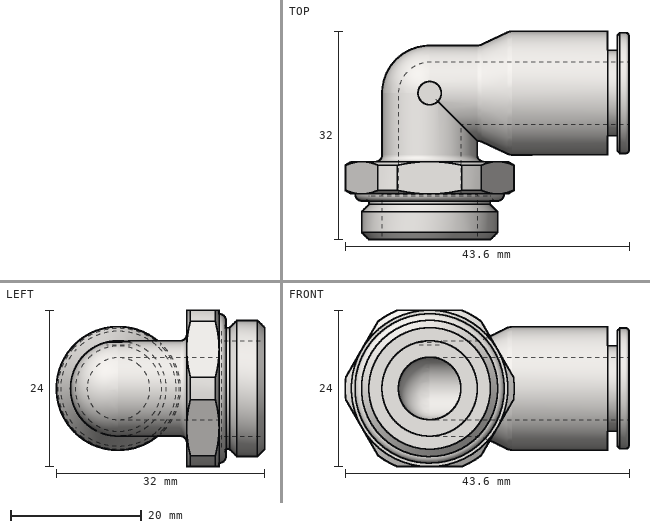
import cadquery as cq
import math


overall_length_y = 32.0

elbow_radius = 7.3
bore_radius = 4.8

cone_start = 7.65
cone_end = 12.3
cone_blend_radius = 1.52
sleeve_radius = 9.5
sleeve_end = 27.3

collar_neck_radius = 6.6
collar_start = 28.75
collar_end = 30.6
collar_radius = 9.3
collar_chamfer = 0.45
collar_fillet = 0.52

hex_top = -10.5
hex_thickness = 4.95
hex_bottom = hex_top - hex_thickness
hex_sides = 6
hex_across_flats = 24.0
hex_corner_radius = 13.0
hex_chamfer_angle = math.radians(30)
stem_base_fillet = 1.0

ring_centre_radius = 10.35
ring_section_radius = 1.1
ring_bottom = hex_bottom - ring_section_radius

thread_radius = 10.45
thread_chamfer = 1.15
relief_radius = thread_radius - thread_chamfer
relief_length = 0.52
relief_bottom = ring_bottom - relief_length
spigot_end = sleeve_radius - overall_length_y
counterbore_radius = elbow_radius
counterbore_depth = 6.95

recess_radius = 1.8
recess_depth = 0.6


def revolve_about_x(points):
    """Revolve an (x, radius) outline, closed along the X axis."""
    return cq.Workplane("XY").polyline(points).close().revolve(360, (0, 0, 0), (1, 0, 0))


def revolve_about_y(points):
    """Revolve a (radius, y) outline, closed along the Y axis."""
    return cq.Workplane("XY").polyline(points).close().revolve(360, (0, 0, 0), (0, 1, 0))


def make_sleeve():
    """Elbow arm, blended cone and sleeve."""
    sleeve = revolve_about_x([
        (0, 0),
        (0, elbow_radius),
        (cone_start, elbow_radius),
        (cone_end, sleeve_radius),
        (sleeve_end, sleeve_radius),
        (sleeve_end, 0),
    ])
    margin = 0.45
    reach = sleeve_radius + margin
    cone_edges = cq.selectors.BoxSelector(
        (cone_start - margin, -reach, -reach),
        (cone_end + margin, reach, reach),
        boundingbox=True,
    )
    return sleeve.edges("%CIRCLE").edges(cone_edges).fillet(cone_blend_radius)


def make_collar():
    """Release collar: chamfered towards the sleeve, rounded at its outer end."""
    neck = cq.Workplane("YZ").workplane(offset=sleeve_end).circle(collar_neck_radius)
    neck = neck.extrude(collar_start - sleeve_end)
    disc = cq.Workplane("YZ").workplane(offset=collar_start).circle(collar_radius)
    disc = disc.extrude(collar_end - collar_start)
    disc = disc.faces("<X").edges().chamfer(collar_chamfer)
    disc = disc.faces(">X").edges().fillet(collar_fillet)
    return neck.union(disc)


def make_hexagon():
    """Hexagon with its flats facing +Z and -Z and its corners turned down on both sides."""
    flat_radius = hex_across_flats / 2
    corner_to_corner = hex_across_flats / math.cos(math.pi / hex_sides)
    chamfer_height = (hex_corner_radius - flat_radius) * math.tan(hex_chamfer_angle)
    prism = cq.Workplane("XZ").workplane(offset=-hex_top)
    prism = prism.polygon(hex_sides, corner_to_corner).extrude(hex_thickness)
    turned_blank = revolve_about_y([
        (0, hex_top),
        (flat_radius, hex_top),
        (hex_corner_radius, hex_top - chamfer_height),
        (hex_corner_radius, hex_bottom + chamfer_height),
        (flat_radius, hex_bottom),
        (0, hex_bottom),
    ])
    return prism.intersect(turned_blank)


def make_stem():
    """Elbow arm running down to the hexagon, with a fillet at its base."""
    fillet_start = hex_top + stem_base_fillet
    fillet_outer = elbow_radius + stem_base_fillet
    fillet_middle = stem_base_fillet * (1 - math.sqrt(0.5))
    outline = (
        cq.Workplane("XY")
        .lineTo(elbow_radius, 0)
        .lineTo(elbow_radius, fillet_start)
        .threePointArc((elbow_radius + fillet_middle, hex_top + fillet_middle), (fillet_outer, hex_top))
        .lineTo(0, hex_top)
        .close()
    )
    return outline.revolve(360, (0, 0, 0), (0, 1, 0))


def make_seal_ring():
    """Exposed lower half of the O-ring."""
    section = (
        cq.Workplane("XY")
        .moveTo(ring_centre_radius - ring_section_radius, hex_bottom)
        .threePointArc((ring_centre_radius, ring_bottom), (ring_centre_radius + ring_section_radius, hex_bottom))
        .close()
    )
    return section.revolve(360, (0, 0, 0), (0, 1, 0))


def make_spigot():
    """Thread relief and plain thread body, chamfered at both ends."""
    return revolve_about_y([
        (0, hex_bottom),
        (relief_radius, hex_bottom),
        (relief_radius, relief_bottom),
        (thread_radius, relief_bottom - thread_chamfer),
        (thread_radius, spigot_end + thread_chamfer),
        (relief_radius, spigot_end),
        (0, spigot_end),
    ])


def make_flow_passage():
    """Right-angled bore with a spherical corner and a counterbore in the spigot."""
    sleeve_bore = cq.Workplane("YZ").circle(bore_radius).extrude(collar_end)
    stem_bore = cq.Workplane("XZ").circle(bore_radius).extrude(-spigot_end)
    counterbore = cq.Workplane("XZ").workplane(offset=-spigot_end).circle(counterbore_radius)
    counterbore = counterbore.extrude(-counterbore_depth)
    corner = cq.Workplane("XY").sphere(bore_radius)
    return corner.union(sleeve_bore).union(stem_bore).union(counterbore)


def make_marking_recess():
    """Shallow round recess cut down from the top of the elbow."""
    floor = cq.Workplane("XY").workplane(offset=elbow_radius - recess_depth)
    return floor.circle(recess_radius).extrude(2 * recess_depth)


body = cq.Workplane("XY").sphere(elbow_radius)
body = body.union(make_sleeve()).union(make_stem()).union(make_collar())
body = body.union(make_hexagon()).union(make_seal_ring()).union(make_spigot())

result = body.cut(make_flow_passage()).cut(make_marking_recess())